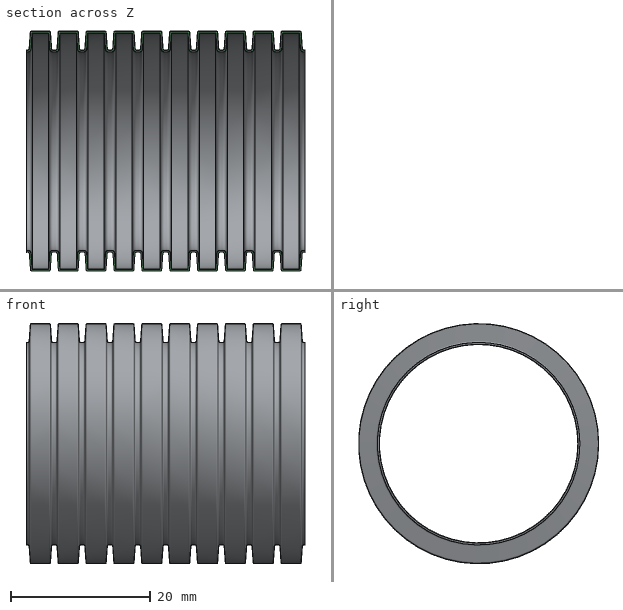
import cadquery as cq
import math

length = 40.0
rib_count = 10
crest_diameter = 34.5
bore_diameter = 28.5
wall = 0.3
crest_width = 2.9
flank_angle = 4.0
outer_fillet = 0.2
bore_fillet = outer_fillet + wall
tolerance = 0.0005

pitch = length / rib_count
crest_radius = crest_diameter / 2
bore_radius = bore_diameter / 2
root_radius = bore_radius + wall

corner_shift = wall * math.tan(math.radians((90 - flank_angle) / 2))
inner_crest_radius = crest_radius - wall
inner_crest_width = crest_width - 2 * corner_shift


def wave(low_radius, high_radius, high_width):
    """Sharp-cornered rib outline from the -X end of the tube to the +X end, as (x, radius)."""
    half_high = high_width / 2
    half_low = half_high + (high_radius - low_radius) * math.tan(math.radians(flank_angle))
    points = [(-length / 2, low_radius)]
    for index in range(rib_count):
        center = (index + 0.5) * pitch - length / 2
        points += [
            (center - half_low, low_radius),
            (center - half_high, high_radius),
            (center + half_high, high_radius),
            (center + half_low, low_radius),
        ]
    points.append((length / 2, low_radius))
    return points


def round_corners(section, corner_radius, fillet_radius):
    """Fillet the corners at one radius from the axis, leaving the two tube ends sharp."""
    corners = [
        vertex
        for vertex in section.Vertices()
        if abs(vertex.Y - corner_radius) < tolerance and abs(vertex.X) < length / 2 - tolerance
    ]
    return section.fillet2D(fillet_radius, corners)


outside = wave(root_radius, crest_radius, crest_width)
inside = wave(bore_radius, inner_crest_radius, inner_crest_width)
outline = cq.Workplane("XY").polyline(outside + inside[::-1]).close().val()
section = cq.Face.makeFromWires(outline)
section = round_corners(section, crest_radius, outer_fillet)
section = round_corners(section, root_radius, outer_fillet)
section = round_corners(section, bore_radius, bore_fillet)

tube = cq.Solid.revolve(section, 360, cq.Vector(0, 0, 0), cq.Vector(1, 0, 0))
result = cq.Workplane("XY").add(tube)